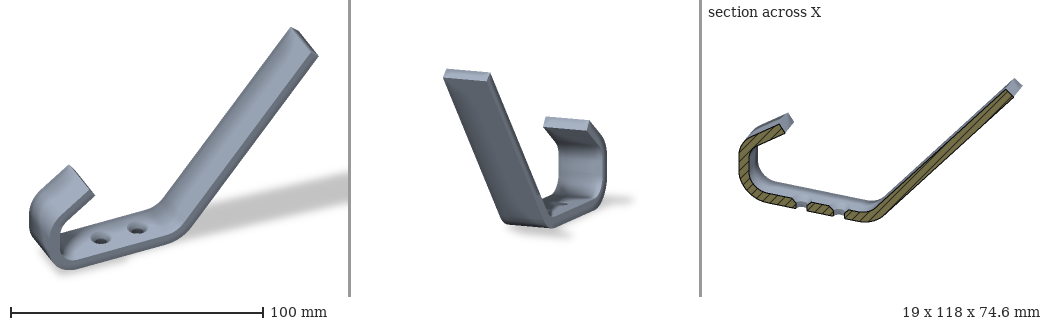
import cadquery as cq
import math

width = 19.0
thickness = 4.6
overall_depth = 118.0

hook_inner_radius = 7.8
hook_outer_radius = hook_inner_radius + thickness
wall_height = 6.3
hook_turn = 55.0
hook_tip_length = 14.9

arm_bend_start = 51.1
arm_inner_radius = 10.0
arm_outer_radius = arm_inner_radius + thickness
arm_angle = 50.0
arm_cos = math.cos(math.radians(arm_angle))
arm_sin = math.sin(math.radians(arm_angle))
arm_length = (overall_depth - arm_bend_start - arm_outer_radius * arm_sin) / arm_cos

hole_diameter = 4.5
countersink_diameter = 8.5
countersink_angle = 90.0
first_hole_y = 27.0
hole_spacing = 16.0


def polar(center, radius, angle):
    """Point at an angle in degrees from +Y toward +Z."""
    a = math.radians(angle)
    return (center[0] + radius * math.cos(a), center[1] + radius * math.sin(a))


lower_center = (hook_outer_radius, hook_outer_radius)
upper_center = (hook_outer_radius, hook_outer_radius + wall_height)
arm_center = (arm_bend_start, thickness + arm_inner_radius)

down = -90.0
front = 180.0
hook_end = front - hook_turn
arm_end = down + arm_angle


def add_arc(path, center, radius, start, end):
    """Line to the start of an arc, then follow it to its end."""
    return path.lineTo(*polar(center, radius, start)).threePointArc(
        polar(center, radius, (start + end) / 2), polar(center, radius, end)
    )


def make_bar():
    """Bent bar, outlined along its outside and back along its inside."""
    tip_direction = hook_end - 90.0
    outer_tip = polar(polar(upper_center, hook_outer_radius, hook_end), hook_tip_length, tip_direction)
    inner_tip = polar(polar(upper_center, hook_inner_radius, hook_end), hook_tip_length, tip_direction)
    outer_arm_tip = polar(polar(arm_center, arm_outer_radius, arm_end), arm_length, arm_angle)
    inner_arm_tip = polar(polar(arm_center, arm_inner_radius, arm_end), arm_length, arm_angle)

    path = cq.Workplane("YZ").moveTo(*outer_tip)
    path = add_arc(path, upper_center, hook_outer_radius, hook_end, front)
    path = add_arc(path, lower_center, hook_outer_radius, front, front - down)
    path = add_arc(path, arm_center, arm_outer_radius, down, arm_end)
    path = path.lineTo(*outer_arm_tip).lineTo(*inner_arm_tip)
    path = add_arc(path, arm_center, arm_inner_radius, arm_end, down)
    path = add_arc(path, lower_center, hook_inner_radius, front - down, front)
    path = add_arc(path, upper_center, hook_inner_radius, front, hook_end)
    return path.lineTo(*inner_tip).close().extrude(width / 2, both=True)


def cut_screw_holes(bar):
    """Through holes countersunk from the upper face of the floor."""
    hole_points = [(0, first_hole_y + i * hole_spacing) for i in range(2)]
    floor = bar.copyWorkplane(cq.Workplane("XY", origin=(0, 0, thickness)))
    return floor.pushPoints(hole_points).cskHole(
        hole_diameter, countersink_diameter, countersink_angle, depth=thickness
    )


result = cut_screw_holes(make_bar())